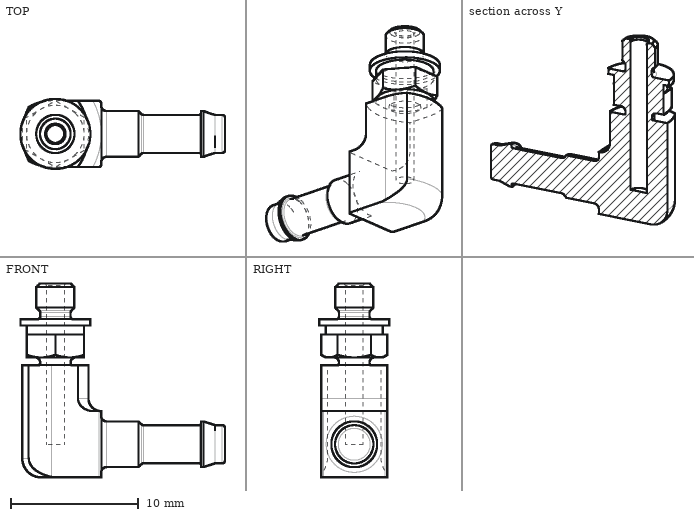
import cadquery as cq
import math


body_half_width = 2.6
body_bottom = -body_half_width
body_top = 6.2
body_end = 3.6
end_corner_radius = 0.2
crown_radius = 4.5
crown_reach = 2.6
crown_offset = crown_radius - crown_reach
cheek_start = -0.3
cheek_radius = 3.4
plan_margin = 0.2
plan_back = -crown_reach - plan_margin
heel_radius = 1.5
step_radius = 1.0

neck_radius = 1.2
neck_groove_radius = 0.4
hex_bottom = 6.8
hex_top = 8.6
hex_flats = 4.5
hex_corner_radius = hex_flats / math.sqrt(3)
hex_turn = 30
hex_chamfer_angle = 30
collar_radius = 2.25
washer_bottom = 9.3
washer_thickness = 0.5
washer_top = washer_bottom + washer_thickness
washer_radius = 2.75
relief_radius = 2.39 / 2
relief_fillet = 0.2
relief_top = 10.3
thread_radius = 1.5
thread_bottom = 10.7
screw_top = 12.6
thread_chamfer = thread_radius - relief_radius

bore_radius = 0.7
bore_chamfer_width = 0.1
bore_chamfer_depth = bore_chamfer_width * math.sqrt(3)
bore_bottom = 0.0

root_radius = 1.8
root_fillet = 0.4
root_end = 6.5
tube_radius = 1.5
tube_start = 6.9
barb_start = 11.4
barb_fillet = 0.1
barb_radius = 1.8
barb_land_end = 11.6
barb_cone_end = 12.5
tip_end = 13.3
tip_radius = 0.25

bevel_angle = math.radians(45)
sin_45 = math.sin(bevel_angle)


def bevel_blend(run, rise):
    """End and middle offsets of the arc from a cylinder onto a 45 degree cone.

    Run is the axial length of arc and cone together, and rise their radial growth.
    Offsets are (axial, radial) from the point where the arc leaves the cylinder.
    """
    radius = (run - rise) / (2 * sin_45 - 1)
    end = (radius * sin_45, radius * (1 - sin_45))
    middle = (radius * math.sin(bevel_angle / 2), radius * (1 - math.cos(bevel_angle / 2)))
    return end, middle


def cheek_y(x):
    """Half width of the body at a given X on the curved cheeks."""
    inset = cheek_radius - math.sqrt(cheek_radius**2 - (cheek_start - x)**2)
    return body_half_width - inset


def make_plan():
    """Side walls of the body at full height, reaching past the back crown."""
    end_y = cheek_y(plan_back)
    mid_x = (cheek_start + plan_back) / 2
    mid_y = cheek_y(mid_x)
    plan = (
        cq.Workplane("XY", origin=(0, 0, body_bottom))
        .moveTo(body_end, -body_half_width)
        .lineTo(body_end, body_half_width)
        .lineTo(cheek_start, body_half_width)
        .threePointArc((mid_x, mid_y), (plan_back, end_y))
        .lineTo(plan_back, -end_y)
        .threePointArc((mid_x, -mid_y), (cheek_start, -body_half_width))
        .close()
        .extrude(body_top - body_bottom)
    )
    return plan.edges("|Z and >X").fillet(end_corner_radius)


def make_back_limit():
    """Solid with the back crown and rounded heel behind, and a plain block in front."""
    height = body_top - body_bottom
    crown = (
        cq.Workplane("XY", origin=(crown_offset, 0, body_bottom))
        .circle(crown_radius)
        .extrude(height)
        .faces("<Z")
        .edges()
        .fillet(heel_radius)
    )
    block = (
        cq.Workplane("XY", origin=(crown_offset, 0, body_bottom))
        .rect(crown_radius, 2 * crown_radius)
        .extrude(height)
        .translate((crown_radius / 2, 0, 0))
    )
    return crown.union(block)


def make_front_limit():
    """Round solid with the front crown above and a wide base that forms the step below."""
    step_z = body_half_width
    base_radius = 2 * crown_radius
    blend_mid = step_radius * (1 - sin_45)
    return (
        cq.Workplane("XZ", origin=(-crown_offset, 0, 0))
        .moveTo(0, body_bottom)
        .lineTo(base_radius, body_bottom)
        .lineTo(base_radius, step_z)
        .lineTo(crown_radius + step_radius, step_z)
        .threePointArc(
            (crown_radius + blend_mid, step_z + blend_mid),
            (crown_radius, step_z + step_radius),
        )
        .lineTo(crown_radius, body_top)
        .lineTo(0, body_top)
        .close()
        .revolve(360, (0, 0), (0, 1))
    )


def make_body():
    """Elbow body with curved walls, rounded heel and step."""
    return make_plan().intersect(make_back_limit()).intersect(make_front_limit())


def make_hexagon():
    """Hexagon with flats facing +X and -X and its lower corners turned off to a cone."""
    height = hex_top - hex_bottom
    flat_radius = hex_flats / 2
    prism = (
        cq.Workplane("XY", origin=(0, 0, hex_bottom))
        .transformed(rotate=(0, 0, hex_turn))
        .polygon(6, 2 * hex_corner_radius)
        .extrude(height)
    )
    cone_radius = hex_flats
    cone_rise = (cone_radius - flat_radius) * math.tan(math.radians(hex_chamfer_angle))
    cone = (
        cq.Workplane("XZ")
        .moveTo(0, hex_bottom)
        .lineTo(flat_radius, hex_bottom)
        .lineTo(cone_radius, hex_bottom + cone_rise)
        .lineTo(cone_radius, hex_top)
        .lineTo(0, hex_top)
        .close()
        .revolve(360, (0, 0), (0, 1))
    )
    return prism.intersect(cone)


def make_screw():
    """Neck, collar, washer, undercut and thread blank, turned about Z."""
    groove_x = neck_radius + neck_groove_radius
    groove_z = hex_bottom - neck_groove_radius
    groove_foot_x = groove_x - math.sqrt(neck_groove_radius**2 - (groove_z - body_top)**2)
    relief_mid = relief_fillet * (1 - sin_45)
    blend_end, blend_mid = bevel_blend(thread_bottom - relief_top, thread_radius - relief_radius)
    return (
        cq.Workplane("XZ")
        .moveTo(0, body_top)
        .lineTo(groove_foot_x, body_top)
        .threePointArc((neck_radius, groove_z), (groove_x, hex_bottom))
        .lineTo(groove_x, hex_top)
        .lineTo(collar_radius, hex_top)
        .lineTo(collar_radius, washer_bottom)
        .lineTo(washer_radius, washer_bottom)
        .lineTo(washer_radius, washer_top)
        .lineTo(relief_radius + relief_fillet, washer_top)
        .threePointArc(
            (relief_radius + relief_mid, washer_top + relief_mid),
            (relief_radius, washer_top + relief_fillet),
        )
        .lineTo(relief_radius, relief_top)
        .threePointArc(
            (relief_radius + blend_mid[1], relief_top + blend_mid[0]),
            (relief_radius + blend_end[1], relief_top + blend_end[0]),
        )
        .lineTo(thread_radius, thread_bottom)
        .lineTo(thread_radius, screw_top - thread_chamfer)
        .lineTo(thread_radius - thread_chamfer, screw_top)
        .lineTo(0, screw_top)
        .close()
        .revolve(360, (0, 0), (0, 1))
    )


def make_barb():
    """Stepped tube with a barbed tip, turned about X."""
    root_mid = root_fillet * (1 - sin_45)
    barb_mid = barb_fillet * (1 - sin_45)
    tip_mid = tip_radius * (1 - sin_45)
    blend_end, blend_mid = bevel_blend(tube_start - root_end, root_radius - tube_radius)
    return (
        cq.Workplane("XZ")
        .lineTo(0, root_radius)
        .lineTo(body_end, root_radius)
        .lineTo(body_end, root_radius + root_fillet)
        .threePointArc(
            (body_end + root_mid, root_radius + root_mid),
            (body_end + root_fillet, root_radius),
        )
        .lineTo(root_end, root_radius)
        .lineTo(tube_start - blend_end[0], tube_radius + blend_end[1])
        .threePointArc(
            (tube_start - blend_mid[0], tube_radius + blend_mid[1]),
            (tube_start, tube_radius),
        )
        .lineTo(barb_start - barb_fillet, tube_radius)
        .threePointArc(
            (barb_start - barb_mid, tube_radius + barb_mid),
            (barb_start, tube_radius + barb_fillet),
        )
        .lineTo(barb_start, barb_radius)
        .lineTo(barb_land_end, barb_radius)
        .lineTo(barb_cone_end, tube_radius)
        .lineTo(tip_end - tip_radius, tube_radius)
        .threePointArc(
            (tip_end - tip_mid, tube_radius - tip_mid),
            (tip_end, tube_radius - tip_radius),
        )
        .lineTo(tip_end, 0)
        .close()
        .revolve(360, (0, 0), (1, 0))
    )


def make_bore():
    """Bore down the screw axis with a small chamfer at the mouth."""
    return (
        cq.Workplane("XZ")
        .moveTo(0, bore_bottom)
        .lineTo(bore_radius, bore_bottom)
        .lineTo(bore_radius, screw_top - bore_chamfer_depth)
        .lineTo(bore_radius + bore_chamfer_width, screw_top)
        .lineTo(0, screw_top)
        .close()
        .revolve(360, (0, 0), (0, 1))
    )


result = (
    make_body()
    .union(make_screw())
    .union(make_hexagon())
    .union(make_barb())
    .cut(make_bore())
)